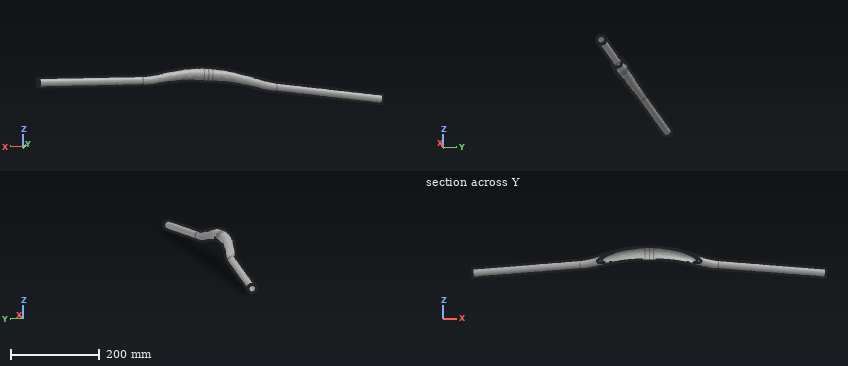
import cadquery as cq
import math

CLAMP_DIAMETER = 31.8
GRIP_DIAMETER = 22.2
WALL = 2.0

CLAMP_HALF_LENGTH = 10.0
GRIP_START_X = 155.7
GRIP_END_X = 399.75
LEAN_ANGLE_DEGREES = 55.1
SHOULDER_ANGLE = math.radians(17.35)
GRIP_ANGLE = math.radians(5.42)
INNER_BEND_RADIUS = 240.0
OUTER_BEND_RADIUS = 155.0
STEPS_PER_BEND = 4


def move_along(point, length, angle):
    """Point reached by a straight run that falls at the given angle."""
    return (point[0] + length * math.cos(angle), point[1] - length * math.sin(angle))


def move_around(point, radius, start_angle, end_angle):
    """Point reached by an arc whose slope turns from start_angle to end_angle."""
    signed_radius = math.copysign(radius, end_angle - start_angle)
    return (
        point[0] + signed_radius * (math.sin(end_angle) - math.sin(start_angle)),
        point[1] - signed_radius * (math.cos(start_angle) - math.cos(end_angle)),
    )


BAR_MIDDLE = (0.0, 0.0)
CLAMP_END = (CLAMP_HALF_LENGTH, 0.0)
INNER_BEND_END = move_around(CLAMP_END, INNER_BEND_RADIUS, 0.0, SHOULDER_ANGLE)
OUTER_BEND_RUN = OUTER_BEND_RADIUS * (math.sin(SHOULDER_ANGLE) - math.sin(GRIP_ANGLE))
SLOPE_RUN = GRIP_START_X - OUTER_BEND_RUN - INNER_BEND_END[0]
OUTER_BEND_START = move_along(INNER_BEND_END, SLOPE_RUN / math.cos(SHOULDER_ANGLE), SHOULDER_ANGLE)
GRIP_START = move_around(OUTER_BEND_START, OUTER_BEND_RADIUS, SHOULDER_ANGLE, GRIP_ANGLE)
GRIP_LENGTH = (GRIP_END_X - GRIP_START_X) / math.cos(GRIP_ANGLE)


def section(point, angle, diameter):
    """Circle square to the centreline, with its start point on the lower rear of the bar."""
    plane = cq.Plane(
        origin=(point[0], point[1], 0),
        xDir=(-math.sin(angle), -math.cos(angle), 0),
        normal=(math.cos(angle), -math.sin(angle), 0),
    )
    return cq.Workplane(plane).circle(diameter / 2)


def bend_stations(start, radius, start_angle, end_angle):
    """Evenly spaced centreline points along one bend, each with its slope."""
    stations = []
    for step in range(STEPS_PER_BEND + 1):
        angle = start_angle + (end_angle - start_angle) * step / STEPS_PER_BEND
        stations.append((move_around(start, radius, start_angle, angle), angle))
    return stations


def tapered_loft(stations, clamp_diameter, grip_diameter):
    """Loft through the stations, tapering evenly from the clamp zone to the grip."""
    circles = []
    for point, angle in stations:
        taper_run = max(point[0] - CLAMP_HALF_LENGTH, 0.0)
        taper_share = taper_run / (GRIP_START_X - CLAMP_HALF_LENGTH)
        diameter = clamp_diameter + (grip_diameter - clamp_diameter) * taper_share
        circles.append(section(point, angle, diameter).wire().val())
    return cq.Workplane(cq.Solid.makeLoft(circles))


def straight_grip(diameter):
    """Solid cylinder from the end of the outer bend to the end of the bar."""
    return section(GRIP_START, GRIP_ANGLE, diameter).extrude(GRIP_LENGTH)


def half_tube():
    """Right half of the bar with its bore."""
    shoulder_stations = (
        bend_stations(CLAMP_END, INNER_BEND_RADIUS, 0.0, SHOULDER_ANGLE)
        + bend_stations(OUTER_BEND_START, OUTER_BEND_RADIUS, SHOULDER_ANGLE, GRIP_ANGLE)
    )
    outer_stations = [(BAR_MIDDLE, 0.0)] + shoulder_stations
    outside = tapered_loft(outer_stations, CLAMP_DIAMETER, GRIP_DIAMETER).union(straight_grip(GRIP_DIAMETER))

    clamp_bore_diameter = CLAMP_DIAMETER - 2 * WALL
    grip_bore_diameter = GRIP_DIAMETER - 2 * WALL
    bore = (
        section(BAR_MIDDLE, 0.0, clamp_bore_diameter)
        .extrude(CLAMP_HALF_LENGTH)
        .union(tapered_loft(shoulder_stations, clamp_bore_diameter, grip_bore_diameter))
        .union(straight_grip(grip_bore_diameter))
    )
    return outside.cut(bore)


right_half = half_tube()
bar = right_half.union(right_half.mirror("YZ"), clean=False)
result = bar.rotate((0, 0, 0), (1, 0, 0), 180 - LEAN_ANGLE_DEGREES).solids()